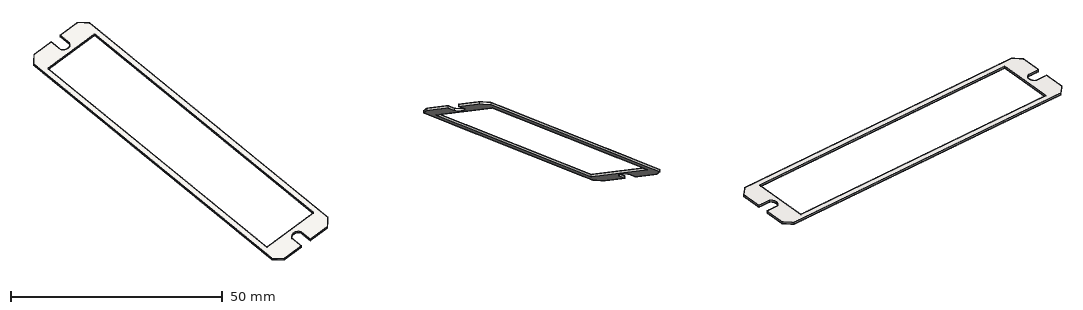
import cadquery as cq

length = 85.8
width = 18.2
thickness = 0.6
corner_chamfer = 2.0

window_length = 75.2
window_width = 15.3

slot_width = 2.9
slot_depth = 4.1
slot_straight = 3.2


def end_slot(side):
    """Round-bottomed slot cutter for the end at +X (side=1) or -X (side=-1)."""
    end_x = side * length / 2
    shoulder_x = side * (length / 2 - slot_straight)
    tip_x = side * (length / 2 - slot_depth)
    half_width = slot_width / 2
    return (
        cq.Workplane("XY")
        .moveTo(end_x, half_width)
        .lineTo(shoulder_x, half_width)
        .threePointArc((tip_x, 0), (shoulder_x, -half_width))
        .lineTo(end_x, -half_width)
        .close()
        .extrude(thickness)
    )


plate = (
    cq.Workplane("XY")
    .rect(length, width)
    .extrude(thickness)
    .edges("|Z")
    .chamfer(corner_chamfer)
)
window = cq.Workplane("XY").rect(window_length, window_width).extrude(thickness)

result = plate.cut(window)
for side in (-1, 1):
    result = result.cut(end_slot(side))